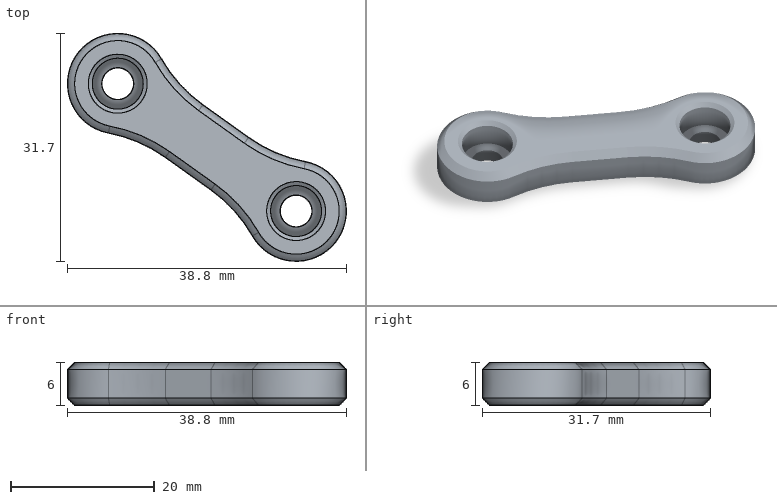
import cadquery as cq
import math

thickness = 6.0
end_radius = 7.0
hole_spacing = 30.5
overall_x = 38.82
waist_half_width = 4.5
neck_radius = 20.0
edge_chamfer = 1.0

hole_diameter = 4.4
counterbore_diameter = 7.1
counterbore_depth = 4.0
counterbore_chamfer = 0.55

tilt = -math.degrees(math.acos((overall_x - 2 * end_radius) / hole_spacing))
half_spacing = hole_spacing / 2

neck_center_y = waist_half_width + neck_radius
center_distance = end_radius + neck_radius
neck_reach = math.sqrt(center_distance**2 - neck_center_y**2)
neck_center_x = half_spacing - neck_reach
tangent_x = half_spacing - neck_reach * end_radius / center_distance
tangent_y = neck_center_y * end_radius / center_distance

neck_half_angle = math.asin(neck_reach / center_distance) / 2
neck_mid_x = neck_center_x + neck_radius * math.sin(neck_half_angle)
neck_mid_y = neck_center_y - neck_radius * math.cos(neck_half_angle)


def link_body():
    outline = (
        cq.Workplane("XY")
        .moveTo(-neck_center_x, waist_half_width)
        .lineTo(neck_center_x, waist_half_width)
        .threePointArc((neck_mid_x, neck_mid_y), (tangent_x, tangent_y))
        .threePointArc((half_spacing + end_radius, 0), (tangent_x, -tangent_y))
        .threePointArc((neck_mid_x, -neck_mid_y), (neck_center_x, -waist_half_width))
        .lineTo(-neck_center_x, -waist_half_width)
        .threePointArc((-neck_mid_x, -neck_mid_y), (-tangent_x, -tangent_y))
        .threePointArc((-half_spacing - end_radius, 0), (-tangent_x, tangent_y))
        .threePointArc((-neck_mid_x, neck_mid_y), (-neck_center_x, waist_half_width))
        .close()
    )
    return outline.extrude(thickness).faces("<Z or >Z").edges().chamfer(edge_chamfer)


def screw_hole_cutter(center_x):
    """Through hole, counterbore and the bevel at the counterbore mouth, revolved about Z."""
    hole_radius = hole_diameter / 2
    bore_radius = counterbore_diameter / 2
    bore_floor = thickness - counterbore_depth
    profile = (
        cq.Workplane("XZ")
        .moveTo(0, 0)
        .lineTo(hole_radius, 0)
        .lineTo(hole_radius, bore_floor)
        .lineTo(bore_radius, bore_floor)
        .lineTo(bore_radius, thickness - counterbore_chamfer)
        .lineTo(bore_radius + counterbore_chamfer, thickness)
        .lineTo(0, thickness)
        .close()
    )
    return profile.revolve(360, (0, 0, 0), (0, 1, 0)).translate((center_x, 0, 0))


link = link_body()
for hole_x in (-half_spacing, half_spacing):
    link = link.cut(screw_hole_cutter(hole_x))

result = link.rotate((0, 0, 0), (0, 0, 1), tilt)